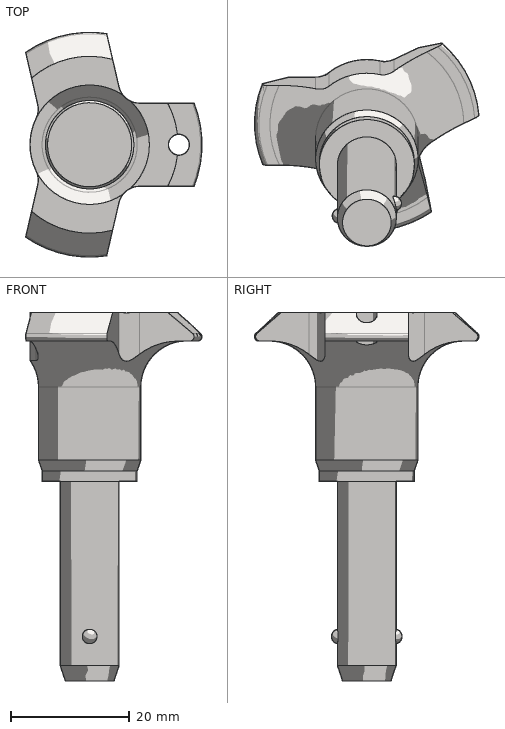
import cadquery as cq
import math

total_height = 62.3
pin_chamfer_height = 2.6
ball_height = 7.55
collar_bottom = 33.75
collar_top = 35.5
barrel_bottom = 37.3
barrel_top = 49.7
arm_underside = 57.45

pin_radius = 5.0
pin_tip_radius = 4.1
collar_radius = 8.05
barrel_radius = 8.65
arm_reach = 19.0
rim_round = 0.75
rim_slope = math.radians(43)

arm_half_width = 7.05
side_arm_angle = math.radians(103)
hub_radius = 10.1
root_radius = 3.55
outline_reach = 21.8

dish_floor_radius = 8.05
dish_depth = 1.3
groove_depth = 0.3
button_radius = 7.5
button_chamfer = 0.4
button_edge_height = 61.05
dome_rise = 1.05

cord_hole_radius = 1.75
cord_hole_x = 15.1
ball_radius = 1.25
ball_span = 11.95


def turned_body():
    """Pin, collar, barrel and flared handle as one revolved profile."""
    flare_radius = arm_underside - barrel_top
    flare_x = barrel_radius + flare_radius
    diagonal = math.sqrt(0.5)
    rim_x = arm_reach - rim_round
    rim_z = arm_underside + rim_round
    slope_x = rim_x + rim_round * math.sin(rim_slope)
    slope_z = rim_z + rim_round * math.cos(rim_slope)
    top_radius = slope_x - (total_height - slope_z) / math.tan(rim_slope)
    profile = (
        cq.Workplane("XZ")
        .lineTo(pin_tip_radius, 0)
        .lineTo(pin_radius, pin_chamfer_height)
        .lineTo(pin_radius, collar_bottom)
        .lineTo(collar_radius, collar_bottom)
        .lineTo(collar_radius, collar_top)
        .lineTo(barrel_radius, barrel_bottom)
        .lineTo(barrel_radius, barrel_top)
        .threePointArc(
            (flare_x - flare_radius * diagonal, barrel_top + flare_radius * diagonal),
            (flare_x, arm_underside),
        )
        .lineTo(rim_x, arm_underside)
        .threePointArc((arm_reach, rim_z), (slope_x, slope_z))
        .lineTo(top_radius, total_height)
        .lineTo(0, total_height)
        .close()
    )
    return profile.revolve(360, (0, 0, 0), (0, 1, 0))


def side_arm_point(along, across):
    """Point on the +Y side arm; across is positive toward the +X arm."""
    cos_a = math.cos(side_arm_angle)
    sin_a = math.sin(side_arm_angle)
    return (along * cos_a + across * sin_a, along * sin_a - across * cos_a)


def toward(start, target, distance):
    """Point at a distance from start in the direction of target."""
    gap = math.dist(start, target)
    return tuple(s + (t - s) * distance / gap for s, t in zip(start, target))


def mirrored(point):
    return (point[0], -point[1])


def arm_outline():
    """Prism with one arm along +X and two side arms, rounded at their roots."""
    root_offset = arm_half_width + root_radius
    front_along = root_offset / math.tan(side_arm_angle / 2)
    front_centre = (front_along, root_offset)
    front_start = (front_along, arm_half_width)
    front_mid = toward(front_centre, (0, 0), root_radius)
    front_end = side_arm_point(front_along, arm_half_width)

    back_along = math.sqrt((hub_radius + root_radius) ** 2 - root_offset ** 2)
    back_centre = side_arm_point(back_along, -root_offset)
    back_start = side_arm_point(back_along, -arm_half_width)
    back_end = toward(back_centre, (0, 0), root_radius)
    chord_mid = ((back_start[0] + back_end[0]) / 2, (back_start[1] + back_end[1]) / 2)
    back_mid = toward(back_centre, chord_mid, root_radius)

    arm_end = (outline_reach, arm_half_width)
    side_front_end = side_arm_point(outline_reach, arm_half_width)
    side_back_end = side_arm_point(outline_reach, -arm_half_width)
    return (
        cq.Workplane("XY")
        .moveTo(*arm_end)
        .lineTo(*front_start)
        .threePointArc(front_mid, front_end)
        .lineTo(*side_front_end)
        .lineTo(*side_back_end)
        .lineTo(*back_start)
        .threePointArc(back_mid, back_end)
        .threePointArc((-hub_radius, 0), mirrored(back_end))
        .threePointArc(mirrored(back_mid), mirrored(back_start))
        .lineTo(*mirrored(side_back_end))
        .lineTo(*mirrored(side_front_end))
        .lineTo(*mirrored(front_end))
        .threePointArc(mirrored(front_mid), mirrored(front_start))
        .lineTo(*mirrored(arm_end))
        .close()
        .extrude(total_height)
    )


def dish_cutter():
    """Turned space between the conical dish and the domed button."""
    dish_floor = total_height - dish_depth
    groove_floor = dish_floor - groove_depth
    dome_radius = button_radius - button_chamfer
    sphere_radius = (dome_radius ** 2 + dome_rise ** 2) / (2 * dome_rise)
    mid_x = dome_radius / 2
    sphere_z = button_edge_height + dome_rise - sphere_radius
    mid_z = sphere_z + math.sqrt(sphere_radius ** 2 - mid_x ** 2)
    profile = (
        cq.Workplane("XZ")
        .moveTo(0, total_height)
        .lineTo(hub_radius, total_height)
        .lineTo(dish_floor_radius, dish_floor)
        .lineTo(button_radius, groove_floor)
        .lineTo(dome_radius, button_edge_height)
        .threePointArc((mid_x, mid_z), (0, button_edge_height + dome_rise))
        .close()
    )
    return profile.revolve(360, (0, 0, 0), (0, 1, 0))


def cord_hole():
    return cq.Workplane("XY").center(cord_hole_x, 0).circle(cord_hole_radius).extrude(total_height)


result = turned_body().intersect(arm_outline()).cut(dish_cutter()).cut(cord_hole())

for side in (-1, 1):
    ball_y = side * (ball_span / 2 - ball_radius)
    ball = cq.Workplane("XY").sphere(ball_radius).translate((0, ball_y, ball_height))
    result = result.union(ball)